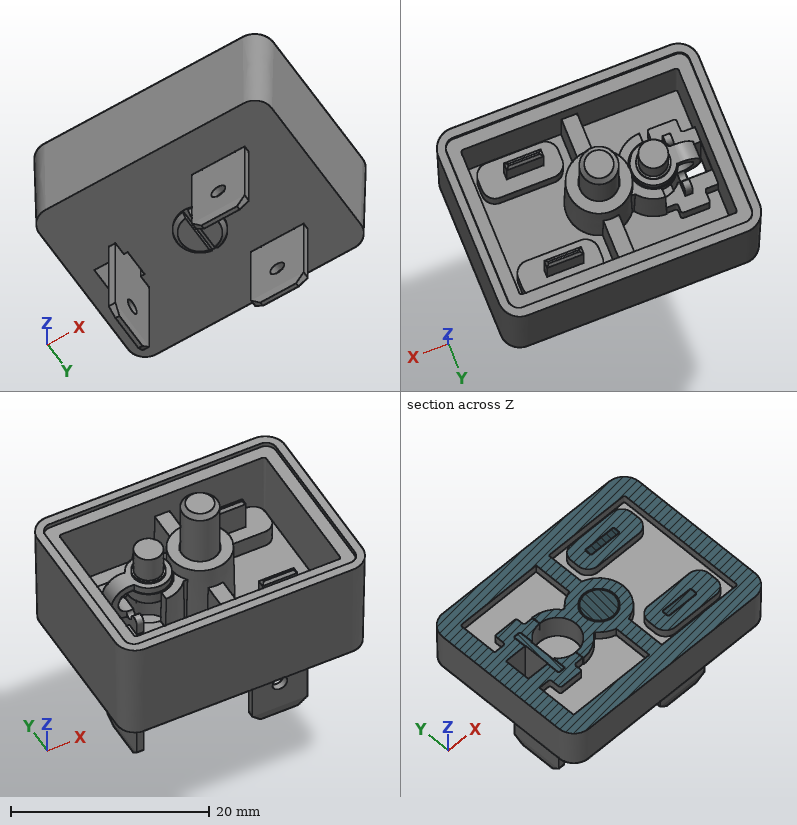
import cadquery as cq
import math

DRAFT = 1.0
OVERLAP = 0.3

overall_height = 29.8

length = 28.3
width = 21.1
height = 12.0
corner_radius = 2.25
floor_z = 4.0
cavity_length = 23.6
cavity_width = 16.33
cavity_corner_radius = 0.3
rim_step_length = 26.4
rim_step_width = 19.13
rim_step_radius = 1.13
rim_step_depth = 0.5

screw_radius = 2.0
screw_top_z = 17.8
screw_tip_chamfer = 0.5
screw_head_radius = 2.77
screw_head_seat = 1.0
screw_head_drop = 0.72
screw_head_chamfer = 0.5
screw_slot_width = 0.6
screw_hole_radius = 2.1
boss_top_z = 11.5
boss_base_radius = 3.52
rib_top_z = 9.0
rib_base_width = 1.88

pin_x = -5.9
pin_radius = 1.52
pin_top_z = 14.0
shoulder_radius = 1.75
shoulder_top_z = 11.03
flange_top_radius = 2.5
flange_bottom_radius = 2.38
flange_thickness = 1.37

block_top_z = 6.0
block_neck_half = 3.22
block_wide_half = 4.7
block_wide_left_x = -10.22
block_wide_right_x = -7.1
block_pin_half = 3.6
block_fillet = 0.25
shield_top_z = 10.0
shield_base_radius = 3.7
web_width = 4.4
web_end_x = -2.38
bore_radius = 2.55
bore_floor_z = 2.0
window_width = 3.15
window_end_x = pin_x - 1.75

sheet = 0.8
blade_width = 6.32
blade_tip_chamfer = 1.0
blade_tip_thickness = 0.48
blade_hole_radius = 0.83
blade_hole_rise = 4.35

terminal_x = -8.52
terminal_tip_z = screw_top_z - overall_height
strap_width = 1.97
strap_outer_radius = 2.15
strap_inner_radius = strap_outer_radius - sheet
ring_bottom_z = shield_top_z
ring_top_z = ring_bottom_z + sheet
ring_radius = 2.38
strap_axis_z = ring_top_z - strap_outer_radius
bump_radius = 0.6
valley_radius = (blade_width - strap_width) / 4 - bump_radius

side_blade_x = 6.0
side_blade_y = 5.5
side_blade_tip_z = -10.0
tang_width = 4.0
tang_bevel = 0.3
tang_top_z = 9.55
pad_x = 6.38
pad_length = 8.7
pad_width = 3.87
pad_corner_radius = 1.4
pad_top_z = 6.0


def block(x_size, y_size, z_bottom, z_top, x=0.0, y=0.0):
    """Upright rectangular block standing on z_bottom."""
    return cq.Workplane("XY", origin=(x, y, z_bottom)).rect(x_size, y_size).extrude(z_top - z_bottom)


def cylinder(radius, z_bottom, z_top, x=0.0):
    """Upright cylinder on the centre line Y = 0."""
    return cq.Workplane("XY", origin=(x, 0, z_bottom)).circle(radius).extrude(z_top - z_bottom)


def rounded_block(x_size, y_size, radius, z_bottom, z_top, x=0.0, y=0.0):
    """Rectangular block with rounded vertical corners."""
    return block(x_size, y_size, z_bottom, z_top, x, y).edges("|Z").fillet(radius)


def hanging_block(x_size, y_size, radius, z_top, z_bottom):
    """Rounded block that narrows downward from z_top by the draft angle."""
    outline = cq.Sketch().rect(x_size, y_size).vertices().fillet(radius)
    top_plane = cq.Workplane("XY", origin=(0, 0, z_top))
    return top_plane.placeSketch(outline).extrude(z_bottom - z_top, taper=DRAFT)


def shell():
    """Open box with drafted walls and a stepped rim."""
    cavity = hanging_block(cavity_length, cavity_width, cavity_corner_radius, height, floor_z)
    step = rounded_block(rim_step_length, rim_step_width, rim_step_radius, height - rim_step_depth, height)
    return hanging_block(length, width, corner_radius, height, 0).cut(cavity).cut(step)


def boss_and_ribs():
    """Drafted boss around the screw, tied to both long walls by ribs."""
    boss = (
        cq.Workplane("XY", origin=(0, 0, floor_z))
        .circle(boss_base_radius)
        .extrude(boss_top_z - floor_z, taper=DRAFT)
    )
    ribs = (
        cq.Workplane("XY", origin=(0, 0, floor_z))
        .rect(rib_base_width, cavity_width + OVERLAP)
        .extrude(rib_top_z - floor_z, taper=DRAFT)
    )
    return boss.union(ribs)


def socket_block():
    """Raised cross-shaped block between the short wall and the pin axis."""
    wall_x = -cavity_length / 2 - OVERLAP / 2
    upper_side = [
        (wall_x, block_neck_half),
        (block_wide_left_x, block_neck_half),
        (block_wide_left_x, block_wide_half),
        (block_wide_right_x, block_wide_half),
        (block_wide_right_x, block_pin_half),
        (pin_x, block_pin_half),
    ]
    lower_side = [(x, -y) for x, y in reversed(upper_side)]
    raised = (
        cq.Workplane("XY", origin=(0, 0, floor_z))
        .polyline(upper_side + lower_side)
        .close()
        .extrude(block_top_z - floor_z)
    )
    step_corners = cq.selectors.BoxSelector(
        (block_wide_left_x - OVERLAP, -width, 0), (block_wide_right_x + OVERLAP, width, height)
    )
    return raised.edges("|Z").edges(step_corners).fillet(block_fillet)


def shield():
    """Drafted half-round wall on the screw side of the pin, joined to the boss by a web."""
    half_round = (
        cq.Workplane("XY", origin=(pin_x, 0, floor_z))
        .moveTo(0, -shield_base_radius)
        .threePointArc((shield_base_radius, 0), (0, shield_base_radius))
        .close()
        .extrude(shield_top_z - floor_z, taper=DRAFT)
    )
    web = block(web_end_x - pin_x, web_width, floor_z, shield_top_z, (pin_x + web_end_x) / 2)
    return half_round.union(web)


def pads():
    """Raised rounded pads around the two side blades."""
    pad = rounded_block(pad_length, pad_width, pad_corner_radius, floor_z, pad_top_z, pad_x)
    return pad.translate((0, side_blade_y, 0)).union(pad.translate((0, -side_blade_y, 0)))


def build_housing():
    body = shell().union(boss_and_ribs()).union(socket_block()).union(shield()).union(pads())

    body = body.cut(cylinder(screw_hole_radius, 0, boss_top_z))
    body = body.cut(cylinder(screw_head_radius, 0, screw_head_seat))

    body = body.cut(cylinder(bore_radius, bore_floor_z, shield_top_z, pin_x))
    window_start_x = -cavity_length / 2 + (height - floor_z) * math.tan(math.radians(DRAFT))
    window_length = window_end_x - window_start_x
    window_x = (window_start_x + window_end_x) / 2
    body = body.cut(block(window_length, window_width, 0, block_top_z, window_x))

    body = body.cut(block(sheet, blade_width, 0, block_top_z, terminal_x))
    for side in (-1, 1):
        body = body.cut(block(tang_width, sheet, 0, pad_top_z, side_blade_x, side * side_blade_y))
    return body


def build_screw():
    """Slotted screw, head down, with a chamfered upper end."""
    shank = cylinder(screw_radius, 0, screw_top_z).faces(">Z").chamfer(screw_tip_chamfer)
    head = cylinder(screw_head_radius, -screw_head_drop, screw_head_seat)
    head = head.faces("<Z").chamfer(screw_head_chamfer)
    slot = block(screw_slot_width, 2 * screw_head_radius, -screw_head_drop, 0)
    return shank.union(head).cut(slot)


def build_contact_pin():
    """Pin with a shoulder that fills the ring and a tapered flange under the ring."""
    flange = (
        cq.Workplane("XY", origin=(pin_x, 0, ring_bottom_z - flange_thickness))
        .circle(flange_bottom_radius)
        .workplane(offset=flange_thickness)
        .circle(flange_top_radius)
        .loft()
    )
    shoulder = cylinder(shoulder_radius, ring_bottom_z, shoulder_top_z, pin_x)
    return flange.union(shoulder).union(cylinder(pin_radius, shoulder_top_z, pin_top_z, pin_x))


def tapered_strip(plane, half_width, tip_half_width, tip_z, half_depth):
    """Strip that hangs from Z = 0 and narrows over the blade tip, extruded across the plane."""
    taper_z = tip_z + blade_tip_chamfer
    right_side = [(half_width, 0), (half_width, taper_z), (tip_half_width, tip_z)]
    left_side = [(-across, z) for across, z in reversed(right_side)]
    return cq.Workplane(plane).polyline(right_side + left_side).close().extrude(half_depth, both=True)


def blade_tip(tip_z):
    """Blade in the XZ plane, centred on X = Y = 0, from its tapered tip up to Z = 0."""
    half_width = blade_width / 2
    half_sheet = sheet / 2
    face = tapered_strip("XZ", half_width, half_width - blade_tip_chamfer, tip_z, half_sheet)
    edge = tapered_strip("YZ", half_sheet, blade_tip_thickness / 2, tip_z, half_width)
    hole = (
        cq.Workplane("XZ")
        .center(0, tip_z + blade_hole_rise)
        .circle(blade_hole_radius)
        .extrude(sheet, both=True)
    )
    return face.intersect(edge).cut(hole)


def terminal_shank():
    """Upper blade, whose top rolls over a bump and a valley on each side of the strap."""
    half = blade_width / 2
    strap_half = strap_width / 2
    crest_z = strap_axis_z - strap_inner_radius
    valley_y = strap_half + valley_radius
    bump_y = half - bump_radius
    inflection_y = half - 2 * bump_radius
    return (
        cq.Workplane("YZ")
        .moveTo(-half, 0)
        .lineTo(half, 0)
        .lineTo(half, crest_z)
        .threePointArc((bump_y, crest_z + bump_radius), (inflection_y, crest_z))
        .threePointArc((valley_y, crest_z - valley_radius), (strap_half, crest_z))
        .lineTo(-strap_half, crest_z)
        .threePointArc((-valley_y, crest_z - valley_radius), (-inflection_y, crest_z))
        .threePointArc((-bump_y, crest_z + bump_radius), (-half, crest_z))
        .close()
        .extrude(sheet / 2, both=True)
        .translate((terminal_x, 0, 0))
    )


def terminal_loop():
    """Half-loop from the top of the blade up to the level of the ring."""
    full_turn = (
        cq.Workplane("XZ", origin=(terminal_x, 0, strap_axis_z))
        .circle(strap_outer_radius)
        .circle(strap_inner_radius)
        .extrude(strap_width / 2, both=True)
    )
    loop_side = block(strap_outer_radius, strap_width, 0, height, terminal_x - strap_outer_radius / 2)
    return full_turn.intersect(loop_side)


def terminal_ring():
    """Flat ring around the pin shoulder, with a tab that runs back to the loop."""
    tab = block(pin_x - terminal_x, strap_width, ring_bottom_z, ring_top_z, (terminal_x + pin_x) / 2)
    ring = cylinder(ring_radius, ring_bottom_z, ring_top_z, pin_x)
    return tab.union(ring).cut(cylinder(shoulder_radius, ring_bottom_z, ring_top_z, pin_x))


def build_ring_terminal():
    tip = blade_tip(terminal_tip_z).rotate((0, 0, 0), (0, 0, 1), 90).translate((terminal_x, 0, 0))
    return tip.union(terminal_shank()).union(terminal_loop()).union(terminal_ring())


def build_side_blade(side):
    """Blade under the housing, with a narrower bevelled tang rising through its pad."""
    bevel_z = tang_top_z - tang_bevel
    tang = block(tang_width, sheet, 0, bevel_z)
    bevel = (
        cq.Workplane("XY", origin=(0, 0, bevel_z))
        .rect(tang_width, sheet)
        .workplane(offset=tang_bevel)
        .rect(tang_width - 2 * tang_bevel, sheet - 2 * tang_bevel)
        .loft(ruled=True)
    )
    blade = blade_tip(side_blade_tip_z).union(tang).union(bevel)
    return blade.translate((side_blade_x, side * side_blade_y, 0))


housing = build_housing()
screw = build_screw()
contact_pin = build_contact_pin()
ring_terminal = build_ring_terminal()
side_blades = [build_side_blade(side) for side in (-1, 1)]

result = cq.Compound.makeCompound(
    [
        housing.solids().val(),
        screw.solids().val(),
        contact_pin.solids().val(),
        ring_terminal.solids().val(),
        *[blade.solids().val() for blade in side_blades],
    ]
)